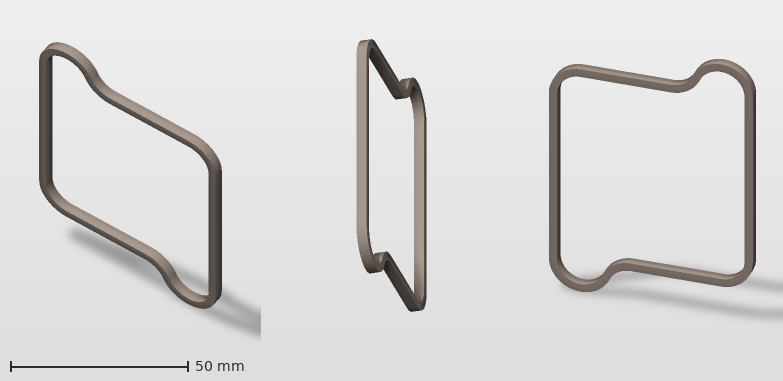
import cadquery as cq
import math

width = 60.9
height = 81.9
depth = 3.0
wall = 2.45

corner_radius = 9.5
blend_radius = corner_radius - wall

half_width = width / 2
half_height = height / 2
edge_z = half_height - corner_radius
lobe_x = -half_width + corner_radius

centre_distance = corner_radius + blend_radius
blend_x = lobe_x + math.sqrt(centre_distance**2 - blend_radius**2)
blend_angle = math.asin(blend_radius / centre_distance)


def on_circle(centre, radius, angle):
    """Point on a circle, with the angle in radians from +X."""
    return (centre[0] + radius * math.cos(angle), centre[1] + radius * math.sin(angle))


def add_half_outline(outline, turn):
    """Add lobe, blend, edge and corner; turn = -1 gives the half rotated by 180 degrees."""

    def place(point):
        return (turn * point[0], turn * point[1])

    lobe = (lobe_x, edge_z)
    blend = (blend_x, edge_z + blend_radius)
    corner = (half_width - corner_radius, edge_z - corner_radius)

    lobe_middle = on_circle(lobe, corner_radius, (math.pi + blend_angle) / 2)
    lobe_end = on_circle(lobe, corner_radius, blend_angle)
    blend_middle = on_circle(blend, blend_radius, (math.pi + blend_angle + 3 * math.pi / 2) / 2)
    blend_end = (blend_x, edge_z)
    corner_middle = on_circle(corner, corner_radius, math.pi / 4)
    corner_end = (half_width, corner[1])
    next_lobe_start = (half_width, -edge_z)

    return (
        outline.threePointArc(place(lobe_middle), place(lobe_end))
        .threePointArc(place(blend_middle), place(blend_end))
        .lineTo(*place((corner[0], edge_z)))
        .threePointArc(place(corner_middle), place(corner_end))
        .lineTo(*place(next_lobe_start))
    )


def closed_outline():
    """Outer outline of the frame, made of two halves."""
    outline = cq.Workplane("XZ").moveTo(-half_width, edge_z)
    for turn in (1, -1):
        outline = add_half_outline(outline, turn)
    return outline.close()


plate = closed_outline().extrude(depth / 2, both=True)
opening = closed_outline().offset2D(-wall).extrude(depth, both=True)
result = plate.cut(opening)